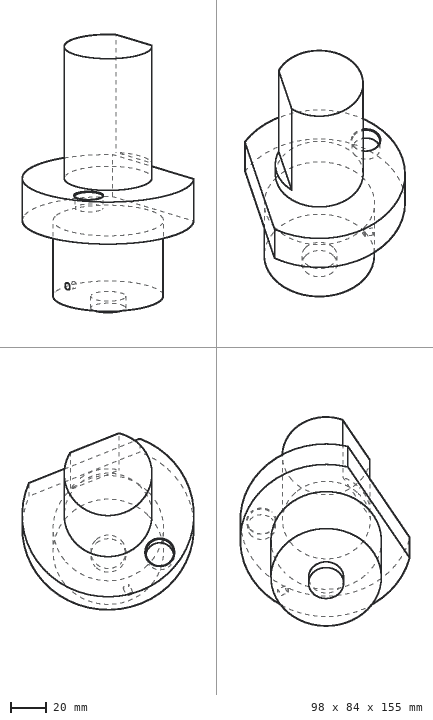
import cadquery as cq
import math

pin_diameter = 20.0
pin_length = 7.0
body_diameter = 63.0
body_length = 45.0
flange_diameter = 98.0
flange_thickness = 25.0
shank_diameter = 50.0
total_height = 155.0

flange_flat_y = 35.0
shank_flat_y = 20.0
shank_collar_height = 8.4

flange_hole_diameter = 16.0
flange_hole_depth = 7.3
flange_hole_chamfer = 0.5
flange_hole_radius = 37.0
flange_hole_angle = -60.0

side_hole_diameter = 4.0
side_hole_depth = 5.0
side_hole_height = 12.0
drill_point_angle = 118.0

body_bottom = pin_length
flange_bottom = body_bottom + body_length
flange_top = flange_bottom + flange_thickness
shank_length = total_height - flange_top


def cylinder(diameter, bottom, height):
    return cq.Workplane("XY").workplane(offset=bottom).circle(diameter / 2).extrude(height)


def cut_flat(section, diameter, flat_y, bottom, height):
    """Remove everything beyond flat_y from a round section."""
    waste = (
        cq.Workplane("XY")
        .box(diameter, diameter, height, centered=(True, False, False))
        .translate((0, flat_y, bottom))
    )
    return section.cut(waste)


def flange_hole():
    """Blind hole with a chamfered mouth, revolved about its own axis."""
    radius = flange_hole_diameter / 2
    angle = math.radians(flange_hole_angle)
    profile = (
        cq.Workplane("XZ")
        .lineTo(radius + flange_hole_chamfer, 0)
        .lineTo(radius, -flange_hole_chamfer)
        .lineTo(radius, -flange_hole_depth)
        .lineTo(0, -flange_hole_depth)
        .close()
    )
    return profile.revolve(360, (0, 0), (0, 1)).translate(
        (flange_hole_radius * math.cos(angle), flange_hole_radius * math.sin(angle), flange_top)
    )


def side_hole():
    """Drilled hole along +Y with a conical bottom."""
    radius = side_hole_diameter / 2
    point_length = radius / math.tan(math.radians(drill_point_angle / 2))
    profile = (
        cq.Workplane("XY")
        .lineTo(radius, 0)
        .lineTo(radius, side_hole_depth)
        .lineTo(0, side_hole_depth + point_length)
        .close()
    )
    return profile.revolve(360, (0, 0), (0, 1)).translate(
        (0, -body_diameter / 2, body_bottom + side_hole_height)
    )


pin = cylinder(pin_diameter, 0, pin_length)
body = cylinder(body_diameter, body_bottom, body_length)

flange = cylinder(flange_diameter, flange_bottom, flange_thickness)
flange = cut_flat(flange, flange_diameter, flange_flat_y, flange_bottom, flange_thickness)

shank = cylinder(shank_diameter, flange_top, shank_length)
shank = cut_flat(
    shank,
    shank_diameter,
    shank_flat_y,
    flange_top + shank_collar_height,
    shank_length - shank_collar_height,
)

result = pin.union(body).union(flange).union(shank).cut(flange_hole()).cut(side_hole())